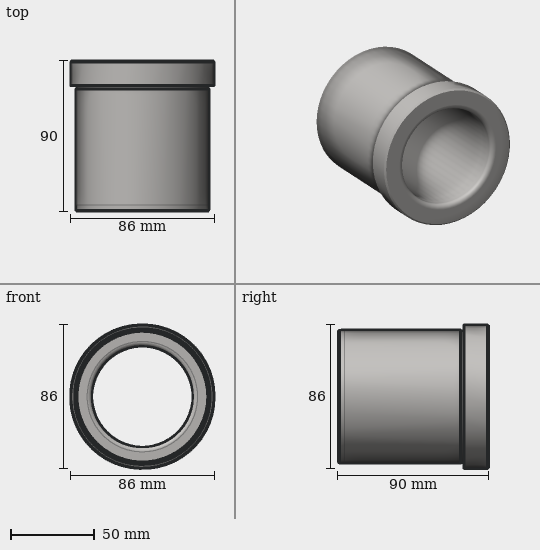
import cadquery as cq

length = 90.0
flange_radius = 43.0
flange_length = 15.0
flange_rear_chamfer = 1.0
flange_front_chamfer = 0.5
body_radius = 40.0
bore_radius = 30.0
bore_mouth_radius = 3.0

relief_depth = 0.5
relief_length = 1.5
relief_taper_length = 0.7

undercut_outer_radius = 40.7
undercut_depth = 0.5
undercut_root_radius = 0.45

lead_length = 4.0
lead_reduction = 0.1
front_chamfer = 1.1

front_y = -length / 2
rear_y = length / 2
flange_front_y = rear_y - flange_length
relief_radius = body_radius - relief_depth
relief_front_y = flange_front_y - relief_length
lead_radius = body_radius - lead_reduction


def turned_blank():
    """Solid of revolution with the stepped outside shape and no bore."""
    profile = (
        cq.Workplane("XY")
        .moveTo(0, front_y)
        .lineTo(lead_radius - front_chamfer, front_y)
        .lineTo(lead_radius, front_y + front_chamfer)
        .lineTo(body_radius, front_y + lead_length)
        .lineTo(body_radius, relief_front_y - relief_taper_length)
        .lineTo(relief_radius, relief_front_y)
        .lineTo(relief_radius, flange_front_y + undercut_depth)
        .lineTo(undercut_outer_radius, flange_front_y)
        .lineTo(flange_radius - flange_front_chamfer, flange_front_y)
        .lineTo(flange_radius, flange_front_y + flange_front_chamfer)
        .lineTo(flange_radius, rear_y - flange_rear_chamfer)
        .lineTo(flange_radius - flange_rear_chamfer, rear_y)
        .lineTo(0, rear_y)
        .close()
    )
    blank = profile.revolve(360, (0, 0, 0), (0, 1, 0))
    root_center = (0, flange_front_y + undercut_depth, 0)
    root_edge = cq.NearestToPointSelector(root_center)
    return blank.edges("%CIRCLE").edges(root_edge).fillet(undercut_root_radius)


def bore_cutter():
    """Through bore that flares into a rounded mouth at each end."""
    mouth_radius = bore_radius + bore_mouth_radius
    mouth_offset = bore_mouth_radius * (1 - 0.5 ** 0.5)
    profile = (
        cq.Workplane("XY")
        .moveTo(0, front_y)
        .lineTo(mouth_radius, front_y)
        .threePointArc(
            (bore_radius + mouth_offset, front_y + mouth_offset),
            (bore_radius, front_y + bore_mouth_radius),
        )
        .lineTo(bore_radius, rear_y - bore_mouth_radius)
        .threePointArc(
            (bore_radius + mouth_offset, rear_y - mouth_offset),
            (mouth_radius, rear_y),
        )
        .lineTo(0, rear_y)
        .close()
    )
    return profile.revolve(360, (0, 0, 0), (0, 1, 0))


result = turned_blank().cut(bore_cutter())